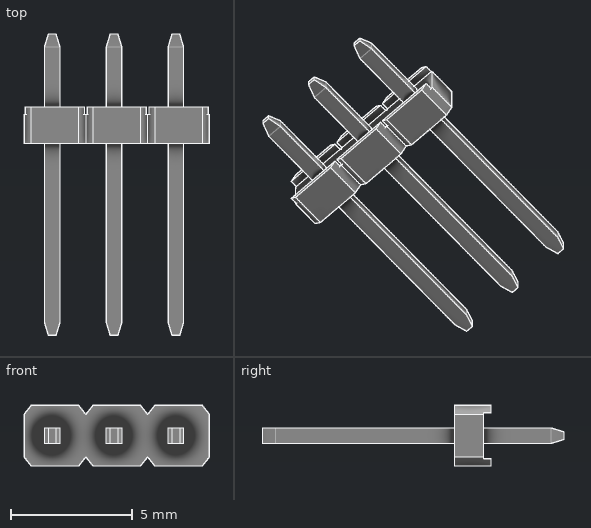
import cadquery as cq

pin_count = 3
pitch = 2.54
pin_side = 0.65
pin_length = 12.4
pin_shift_x = -0.11
taper_length = 0.53
tip_width = 0.32

housing_length = pin_count * pitch
housing_height = 2.5
housing_depth = 1.51
chamfer_x = 0.3
chamfer_z = 0.37
recess_depth = 0.31
lip_thickness = 0.31
front_pin_length = 7.89

housing_front_y = front_pin_length - pin_length / 2
housing_back_y = housing_front_y + housing_depth
centres_x = [(i - (pin_count - 1) / 2) * pitch for i in range(pin_count)]


def housing_cell(x):
    """One octagonal cell of the housing, extruded towards +Y."""
    half_width = pitch / 2
    half_height = housing_height / 2
    flat_x = half_width - chamfer_x
    flat_z = half_height - chamfer_z
    outline = [
        (x - half_width, -flat_z),
        (x - flat_x, -half_height),
        (x + flat_x, -half_height),
        (x + half_width, -flat_z),
        (x + half_width, flat_z),
        (x + flat_x, half_height),
        (x - flat_x, half_height),
        (x - half_width, flat_z),
    ]
    return (
        cq.Workplane("XZ", origin=(0, housing_front_y, 0))
        .polyline(outline)
        .close()
        .extrude(-housing_depth)
    )


def back_recess():
    """Full-length channel in the back face, leaving a lip above and below."""
    return cq.Workplane("XY").box(
        housing_length,
        recess_depth,
        housing_height - 2 * lip_thickness,
    ).translate((0, housing_back_y - recess_depth / 2, 0))


def pin(x):
    """Square pin: front end narrows in X only, back end in X and Z."""
    half_side = pin_side / 2
    half_tip = tip_width / 2
    half_length = pin_length / 2
    shoulder_y = half_length - taper_length
    plan = [
        (-half_tip, -half_length),
        (half_tip, -half_length),
        (half_side, -shoulder_y),
        (half_side, shoulder_y),
        (half_tip, half_length),
        (-half_tip, half_length),
        (-half_side, shoulder_y),
        (-half_side, -shoulder_y),
    ]
    side = [
        (-half_length, -half_side),
        (shoulder_y, -half_side),
        (half_length, -half_tip),
        (half_length, half_tip),
        (shoulder_y, half_side),
        (-half_length, half_side),
    ]
    plan_solid = cq.Workplane("XY").polyline(plan).close().extrude(half_side, both=True)
    side_solid = cq.Workplane("YZ").polyline(side).close().extrude(half_side, both=True)
    return plan_solid.intersect(side_solid).translate((x, 0, 0))


housing = housing_cell(centres_x[0])
for centre_x in centres_x[1:]:
    housing = housing.union(housing_cell(centre_x))

result = housing.cut(back_recess())
for centre_x in centres_x:
    result = result.union(pin(centre_x + pin_shift_x))